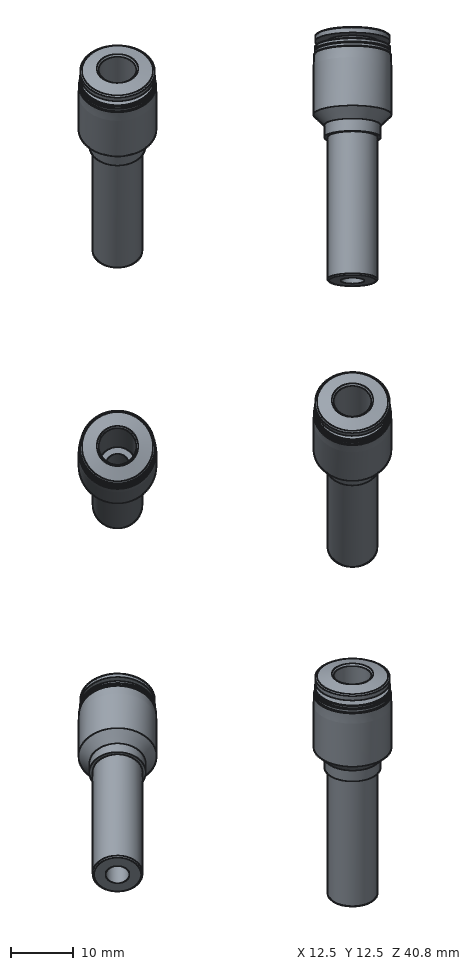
import cadquery as cq

height = 40.8

stem_diameter = 8.0
stem_chamfer = 0.25
collar_diameter = 9.0
collar_bottom = 23.55
collar_top = 25.55

body_diameter = 12.5
body_mouth_diameter = 12.35
body_bottom = collar_top + (body_diameter - collar_diameter) / 2
taper_bottom = 35.2
body_top = 37.2
shoulder_bottom = 37.05

ring_diameter = 12.1
ring_top = 38.45
ring_chamfer = 0.1
groove_diameter = 11.8
groove_bottom = 37.7
groove_width = 0.15

neck_diameter = 7.5
flare_diameter = 8.0
flare_bottom = 39.05
disc_diameter = 11.95
disc_bottom = 39.35
disc_edge_top = 40.15
crown_diameter = 11.35
crown_bottom = 40.35

passage_diameter = 3.8
socket_diameter = 6.0
socket_floor = body_bottom
mouth_diameter = 6.6
mouth_depth = (mouth_diameter - socket_diameter) / 2


def turned(profile):
    """Revolve a closed outline of (diameter, height) points about Z."""
    points = [(diameter / 2, z) for diameter, z in profile]
    return cq.Workplane("XZ").polyline(points).close().revolve(360, (0, 0), (0, 1))


def fitting_body():
    return turned([
        (0, 0),
        (stem_diameter - 2 * stem_chamfer, 0),
        (stem_diameter, stem_chamfer),
        (stem_diameter, collar_bottom),
        (collar_diameter, collar_bottom),
        (collar_diameter, collar_top),
        (body_diameter, body_bottom),
        (body_diameter, taper_bottom),
        (body_mouth_diameter, shoulder_bottom),
        (ring_diameter, body_top),
        (ring_diameter, groove_bottom),
        (groove_diameter, groove_bottom),
        (groove_diameter, groove_bottom + groove_width),
        (ring_diameter, groove_bottom + groove_width),
        (ring_diameter, ring_top - ring_chamfer),
        (ring_diameter - 2 * ring_chamfer, ring_top),
        (0, ring_top),
    ])


def release_button():
    return turned([
        (0, ring_top),
        (neck_diameter, ring_top),
        (neck_diameter, flare_bottom),
        (flare_diameter, disc_bottom),
        (disc_diameter, disc_bottom),
        (disc_diameter, disc_edge_top),
        (crown_diameter, crown_bottom),
        (mouth_diameter, height),
        (0, height),
    ])


def bore():
    return turned([
        (0, 0),
        (passage_diameter, 0),
        (passage_diameter, socket_floor),
        (socket_diameter, socket_floor),
        (socket_diameter, height - mouth_depth),
        (mouth_diameter, height),
        (0, height),
    ])


result = fitting_body().union(release_button()).cut(bore())